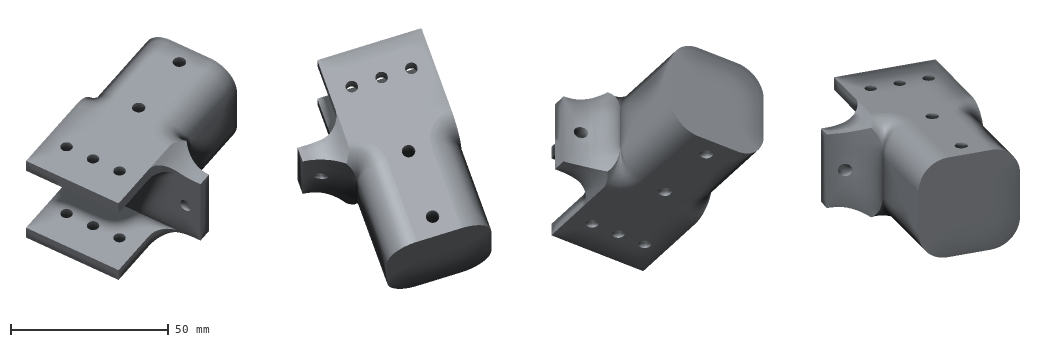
import cadquery as cq
import math

length = 70.0
width = 35.0
height = 35.0
corner_radius = 10.0
rounded_start = 40.05

slot_depth = 25.0
plate_thickness = 4.5

tab_reach = 15.0
tab_thickness = 5.05
tab_end = width + tab_reach
tab_back = slot_depth + tab_thickness
flare_radius = 18.0
edge_radius = 18.55
web_radius = 7.0
tab_flat = 2.7

body_hole_diameter = 4.3
fork_hole_diameter = 4.0
body_hole_places = [39.3, 63.3]
fork_hole_place = 12.25
fork_hole_pitch = 10.0
tab_hole_from_end = 5.7


def body_block():
    return cq.Workplane("XY").box(width, length, height, centered=False)


def side_tab():
    """Flared tab whose top and bottom edges sweep down to a narrower tip."""
    plan = (
        cq.Workplane("XY")
        .moveTo(width / 2, slot_depth - web_radius)
        .lineTo(width, slot_depth - web_radius)
        .radiusArc((width + web_radius, slot_depth), web_radius)
        .lineTo(tab_end, slot_depth)
        .lineTo(tab_end, tab_back)
        .radiusArc((width, rounded_start), flare_radius)
        .lineTo(width / 2, rounded_start)
        .close()
        .extrude(height)
    )
    flat_start = tab_end - tab_flat
    flare_run = flat_start - width
    edge_inset = edge_radius - math.sqrt(edge_radius**2 - flare_run**2)
    elevation = (
        cq.Workplane("XZ")
        .moveTo(width / 2, 0)
        .lineTo(width, 0)
        .radiusArc((flat_start, edge_inset), edge_radius)
        .lineTo(tab_end, edge_inset)
        .lineTo(tab_end, height - edge_inset)
        .lineTo(flat_start, height - edge_inset)
        .radiusArc((width, height), edge_radius)
        .lineTo(width / 2, height)
        .close()
        .extrude(-length)
    )
    return plan.intersect(elevation)


def corner_section(plane, side):
    """Area between a square upper corner and its rounding, side = +1 towards +X."""
    return (
        cq.Workplane(plane)
        .lineTo(0, -corner_radius)
        .radiusArc((side * corner_radius, 0), corner_radius * side)
        .close()
    )


def corner_cutter(x, side):
    """Rounds one long upper corner and ends the rounding with a turned runout."""
    plane = cq.Plane(origin=(x, rounded_start, height), xDir=(1, 0, 0), normal=(0, -1, 0))
    straight = corner_section(plane, side).extrude(-(length - rounded_start))
    runout = corner_section(plane, side).revolve(360, (0, 0, 0), (0, 1, 0))
    return straight.union(runout)


def rounded_corners(part):
    for x, side in ((0, 1), (width, -1)):
        upper = corner_cutter(x, side)
        lower = upper.mirror("XY", (0, 0, height / 2))
        part = part.cut(upper).cut(lower)
    return part


def fork_slot():
    return cq.Workplane("XY").box(
        tab_end, slot_depth, height - 2 * plate_thickness, centered=False
    ).translate((0, 0, plate_thickness))


def vertical_holes(places, diameter):
    return cq.Workplane("XY").pushPoints(places).circle(diameter / 2).extrude(height)


def tab_hole():
    return (
        cq.Workplane("XZ")
        .center(tab_end - tab_hole_from_end, height / 2)
        .circle(body_hole_diameter / 2)
        .extrude(-length)
    )


body_holes = [(width / 2, y) for y in body_hole_places]
fork_holes = [(width / 2 + i * fork_hole_pitch, fork_hole_place) for i in (-1, 0, 1)]

result = rounded_corners(body_block().union(side_tab()))
result = result.cut(fork_slot())
result = result.cut(vertical_holes(body_holes, body_hole_diameter))
result = result.cut(vertical_holes(fork_holes, fork_hole_diameter))
result = result.cut(tab_hole())